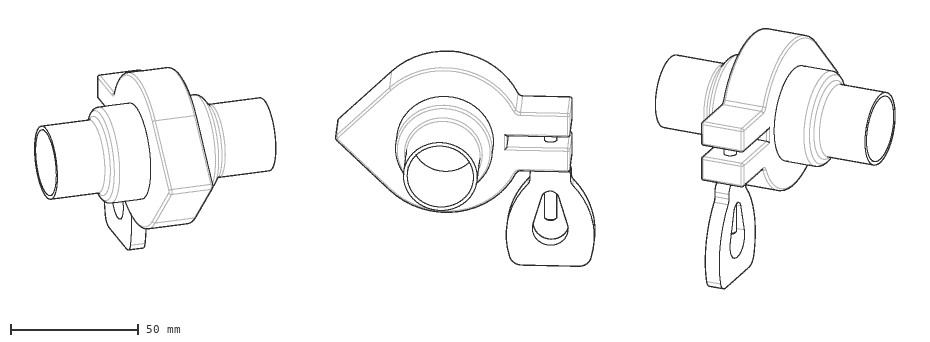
import cadquery as cq
import math

clamp_radius = 30.9
clamp_width = 18.0
nose_radius = 1.5
edge_radius = 0.9

lug_end_x = -48.9
lug_half_height = 12.5
lug_blend_radius = 2.0
slot_height = 4.9
slot_end_x = -24.2

body_radius = 38.0 / 2
pipe_radius = 29.0 / 2
bore_radius = 26.0 / 2
front_end_y = -46.0
front_cone_small_y = -25.1
front_cone_large_y = -23.1
rear_cone_large_y = 18.6
rear_cone_small_y = 22.2
rear_end_y = 44.0
cone_blend_radius = 2.0
inner_wall_thickness = clamp_width

handle_x = -40.9
handle_thickness = 6.1
handle_bottom_z = -55.0
neck_half_width = 8.0
neck_top_radius = 3.8
neck_blend_radius = 3.0
handle_half_width = 17.3
handle_side_radius = 32.4
handle_side_center_z = -42.2
handle_corner_radius = 5.1

window_top_radius = 3.4
window_top_center_z = -26.5
window_bottom_radius = 7.0
window_bottom_center_z = -39.2

screw_radius = 5.0 / 2
screw_bottom_z = -36.1
screw_chamfer = 0.6


def extrude_across_y(sketch, thickness):
    """Extrude an XZ sketch symmetrically about Y = 0."""
    return sketch.extrude(thickness / 2, both=True)


def make_clamp():
    tangent = clamp_radius / math.sqrt(2)
    lug_root_x = -math.sqrt(clamp_radius**2 - lug_half_height**2)
    nose_x = clamp_radius * math.sqrt(2)

    outline = (
        cq.Workplane("XZ")
        .moveTo(lug_end_x, lug_half_height)
        .lineTo(lug_root_x, lug_half_height)
        .threePointArc((0, clamp_radius), (tangent, tangent))
        .lineTo(nose_x, 0)
        .lineTo(tangent, -tangent)
        .threePointArc((0, -clamp_radius), (lug_root_x, -lug_half_height))
        .lineTo(lug_end_x, -lug_half_height)
        .close()
    )
    clamp = extrude_across_y(outline, clamp_width)
    clamp = clamp.edges("|Y and >X").fillet(nose_radius)
    lug_roots = [
        cq.selectors.NearestToPointSelector((lug_root_x, 0, side * lug_half_height))
        for side in (1, -1)
    ]
    for root in lug_roots:
        clamp = clamp.edges(root).fillet(lug_blend_radius)

    slot_length = slot_end_x - lug_end_x
    slot = cq.Workplane("XY").box(slot_length, clamp_width, slot_height)
    clamp = clamp.cut(slot.translate((lug_end_x + slot_length / 2, 0, 0)))
    return clamp.faces("<Y or >Y or <X").edges().fillet(edge_radius)


def make_body():
    profile = (
        cq.Workplane("XY")
        .moveTo(0, front_end_y)
        .lineTo(pipe_radius, front_end_y)
        .lineTo(pipe_radius, front_cone_small_y)
        .lineTo(body_radius, front_cone_large_y)
        .lineTo(body_radius, rear_cone_large_y)
        .lineTo(pipe_radius, rear_cone_small_y)
        .lineTo(pipe_radius, rear_end_y)
        .lineTo(0, rear_end_y)
        .close()
    )
    body = profile.revolve(360, (0, 0, 0), (0, 1, 0))
    cone_edges = cq.selectors.BoxSelector(
        (-clamp_radius, front_cone_small_y - 1, -clamp_radius),
        (clamp_radius, rear_cone_small_y + 1, clamp_radius),
        boundingbox=True,
    )
    return body.edges("%CIRCLE").edges(cone_edges).fillet(cone_blend_radius)


def make_bores():
    """Blind bores from both pipe ends, separated by the inner wall."""
    half_wall = inner_wall_thickness / 2
    front_depth = -half_wall - front_end_y
    rear_depth = rear_end_y - half_wall
    front = cq.Workplane("XZ", origin=(0, -half_wall, 0)).circle(bore_radius).extrude(front_depth)
    rear = cq.Workplane("XZ", origin=(0, half_wall, 0)).circle(bore_radius).extrude(-rear_depth)
    return front.union(rear)


def make_window():
    """Teardrop formed by two circles and their common tangents."""
    spacing = window_top_center_z - window_bottom_center_z
    slope = math.asin((window_bottom_radius - window_top_radius) / spacing)
    top_x = window_top_radius * math.cos(slope)
    top_z = window_top_center_z + window_top_radius * math.sin(slope)
    bottom_x = window_bottom_radius * math.cos(slope)
    bottom_z = window_bottom_center_z + window_bottom_radius * math.sin(slope)

    outline = (
        cq.Workplane("XZ", origin=(handle_x, 0, 0))
        .moveTo(-top_x, top_z)
        .threePointArc((0, window_top_center_z + window_top_radius), (top_x, top_z))
        .lineTo(bottom_x, bottom_z)
        .threePointArc((0, window_bottom_center_z - window_bottom_radius), (-bottom_x, bottom_z))
        .close()
    )
    return extrude_across_y(outline, handle_thickness)


def make_handle():
    side_center_x = handle_half_width - handle_side_radius
    top_z = -lug_half_height
    drop = handle_side_center_z - handle_bottom_z
    bottom_x = side_center_x + math.sqrt(handle_side_radius**2 - drop**2)
    neck_offset = neck_half_width - side_center_x
    neck_z = handle_side_center_z + math.sqrt(handle_side_radius**2 - neck_offset**2)

    outline = (
        cq.Workplane("XZ", origin=(handle_x, 0, 0))
        .moveTo(-neck_half_width, top_z)
        .lineTo(neck_half_width, top_z)
        .lineTo(neck_half_width, neck_z)
        .threePointArc((handle_half_width, handle_side_center_z), (bottom_x, handle_bottom_z))
        .lineTo(-bottom_x, handle_bottom_z)
        .threePointArc((-handle_half_width, handle_side_center_z), (-neck_half_width, neck_z))
        .close()
    )
    handle = extrude_across_y(outline, handle_thickness)
    handle = handle.edges("|Y and >Z").fillet(neck_top_radius)
    handle = handle.edges("|Y and <Z").fillet(handle_corner_radius)
    for side in (-1, 1):
        neck_corner = (handle_x + side * neck_half_width, 0, neck_z)
        handle = handle.edges(cq.selectors.NearestToPointSelector(neck_corner)).fillet(neck_blend_radius)
    return handle.cut(make_window())


def make_screw():
    """Screw from the upper lug, across the slot, down into the handle window."""
    length = lug_half_height / 2 - screw_bottom_z
    screw = cq.Workplane("XY", origin=(handle_x, 0, screw_bottom_z)).circle(screw_radius).extrude(length)
    return screw.faces("<Z").chamfer(screw_chamfer)


result = make_clamp().union(make_body()).cut(make_bores()).union(make_handle()).union(make_screw())